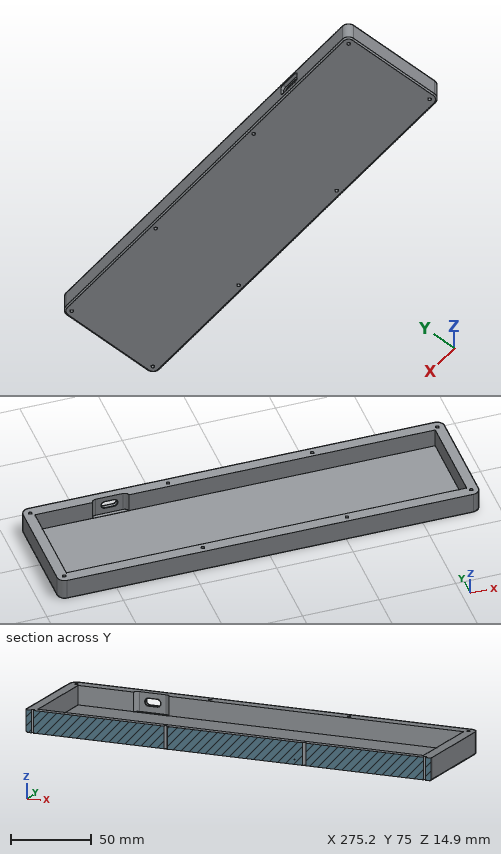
import cadquery as cq
import math

length = 275.2
width = 75.0
height = 14.9
corner_radius = 5.0
bottom_chamfer = 1.0

cavity_length = 261.5
cavity_width = 60.5
floor_thickness = 2.35
cavity_depth = height - floor_thickness

screw_diameter = 2.0
corner_hole_x = 133.0
corner_hole_y = 32.7
middle_hole_xs = (-42.7, 51.5)
middle_hole_y = 33.5

recess_center_x = -81.2
recess_length = 24.0
recess_depth = 2.5
recess_corner_radius = 3.0
recess_floor_drop = 0.15

connector_z = 8.8
web_thickness = 2.5
slot_length = 10.5
slot_height = 4.7
slot_edge_chamfer = 0.3
plug_pocket_length = 15.5
plug_pocket_height = 8.8
plug_pocket_corner_radius = 2.06

cavity_wall_y = cavity_width / 2
web_inner_y = cavity_wall_y + recess_depth
web_outer_y = web_inner_y + web_thickness
outer_wall_y = width / 2


def make_body():
    body = cq.Workplane("XY").box(length, width, height, centered=(True, True, False))
    body = body.edges("|Z").fillet(corner_radius)
    return body.faces("<Z").edges().chamfer(bottom_chamfer)


def make_cavity():
    return (
        cq.Workplane("XY", origin=(0, 0, floor_thickness))
        .rect(cavity_length, cavity_width)
        .extrude(cavity_depth)
    )


def make_screw_holes():
    points = []
    for side in (-1, 1):
        points += [(end * corner_hole_x, side * corner_hole_y) for end in (-1, 1)]
        points += [(x, side * middle_hole_y) for x in middle_hole_xs]
    return cq.Workplane("XY").pushPoints(points).circle(screw_diameter / 2).extrude(height)


def make_connector_recess():
    left_x = recess_center_x - recess_length / 2
    corner_span = math.sqrt(recess_corner_radius**2 - (recess_corner_radius - recess_depth) ** 2)
    recess_floor_z = floor_thickness - recess_floor_drop
    return (
        cq.Workplane("XY", origin=(left_x, cavity_wall_y, recess_floor_z))
        .lineTo(recess_length, 0)
        .radiusArc((recess_length - corner_span, recess_depth), -recess_corner_radius)
        .lineTo(corner_span, recess_depth)
        .radiusArc((0, 0), -recess_corner_radius)
        .close()
        .extrude(height - recess_floor_z)
    )


def connector_plane(y):
    return cq.Workplane("XZ", origin=(recess_center_x, y, connector_z))


def make_connector_slot():
    slot = connector_plane(web_inner_y).slot2D(slot_length, slot_height).extrude(-web_thickness)
    mouth = (
        connector_plane(web_inner_y)
        .slot2D(slot_length + 2 * slot_edge_chamfer, slot_height + 2 * slot_edge_chamfer)
        .workplane(offset=-slot_edge_chamfer)
        .slot2D(slot_length, slot_height)
        .loft(ruled=True)
    )
    return slot.union(mouth)


def make_plug_pocket():
    return (
        connector_plane(web_outer_y)
        .rect(plug_pocket_length, plug_pocket_height)
        .extrude(-(outer_wall_y - web_outer_y))
        .edges("|Y")
        .fillet(plug_pocket_corner_radius)
    )


result = (
    make_body()
    .cut(make_cavity())
    .cut(make_screw_holes())
    .cut(make_connector_recess())
    .cut(make_connector_slot())
    .cut(make_plug_pocket())
)